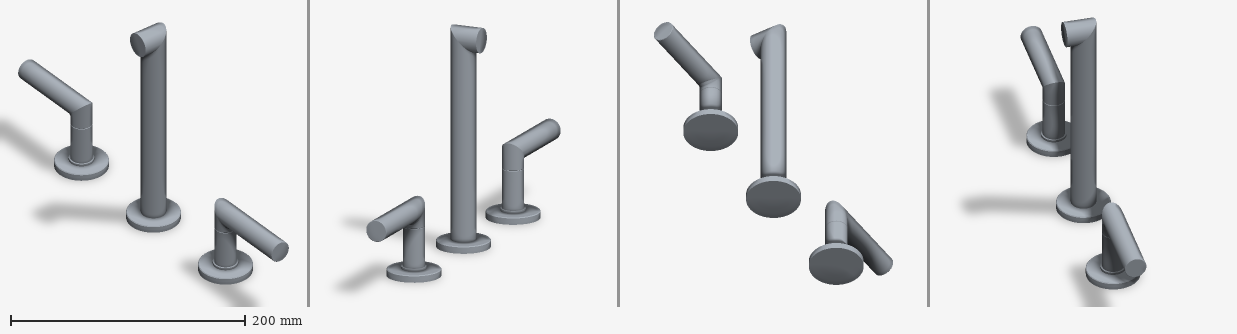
import cadquery as cq
import math

overall_width = 352.5
overall_height = 195.2
handle_spacing = 100.0

flange_diameter = 47.0
flange_height = 6.5
flange_chamfer = 0.7

spout_diameter = 22.0
spout_reach = 17.0

handle_diameter = 19.0
handle_height = 68.0
collar_diameter = 22.0
collar_height = 2.0
seam_height = 43.7
handle_chamfer = 0.5
elbow_bevel = 2.0

lever_reach = overall_width / 2 - handle_spacing


def flange():
    """Disc standing on Z = 0 with its upper rim chamfered."""
    disc = cq.Workplane("XY").circle(flange_diameter / 2).extrude(flange_height)
    return disc.faces(">Z").edges().chamfer(flange_chamfer)


def mitred_tube(diameter, start_height, top_height, reach):
    """Round bar that rises on the Z axis and turns toward +X with a sharp mitre."""
    radius = diameter / 2
    path = (
        cq.Workplane("XZ")
        .moveTo(0, start_height)
        .lineTo(0, top_height - radius)
        .lineTo(reach, top_height - radius)
    )
    return (
        cq.Workplane("XY", origin=(0, 0, start_height))
        .circle(radius)
        .sweep(path, transition="right")
    )


def make_spout():
    """Tall bar on a flange, with its outlet facing -Y."""
    bar = mitred_tube(spout_diameter, 0, overall_height, spout_reach)
    return flange().union(bar.rotate((0, 0, 0), (0, 0, 1), -90))


def make_handle_base():
    """Flange, collar and stem of a handle, centred on the Z axis."""
    collar = cq.Workplane("XY").circle(collar_diameter / 2).extrude(flange_height + collar_height)
    stem = cq.Workplane("XY").circle(handle_diameter / 2).extrude(seam_height)
    stem = stem.faces(">Z").edges().chamfer(handle_chamfer)
    return flange().union(collar).union(stem)


def elbow_web():
    """Bevel in the inside corner of the elbow that fades out at the two sides of the bar.

    It is half of an elliptical bar along the 45 degree diagonal, clipped to a wedge that
    opens from the crossing of the two bar axes.
    """
    radius = handle_diameter / 2
    far = radius + elbow_bevel
    axis_height = handle_height - radius
    wedge = (
        cq.Workplane("XZ", origin=(0, 0, axis_height))
        .polyline([(0, 0), (radius, -far), (far, -radius)])
        .close()
        .extrude(radius, both=True)
    )
    diagonal = cq.Plane(origin=(0, 0, axis_height), xDir=(1, 0, -1), normal=(1, 0, 1))
    bar = cq.Workplane(diagonal).ellipse((radius + far) / math.sqrt(2), radius).extrude(radius, both=True)
    return wedge.intersect(bar)


def make_lever():
    """Bar that rises from the base and turns toward +X."""
    lever = mitred_tube(handle_diameter, seam_height, handle_height, lever_reach)
    lever = lever.faces("<Z or >X").edges().chamfer(handle_chamfer)
    return lever.union(elbow_web())


spout = make_spout()
handle_bodies = []
for turn, side in ((0, 1), (180, -1)):
    for body in (make_handle_base(), make_lever()):
        turned = body.rotate((0, 0, 0), (0, 0, 1), turn)
        handle_bodies.append(turned.translate((side * handle_spacing, 0, 0)).val())

result = cq.Compound.makeCompound([spout.val(), *handle_bodies])